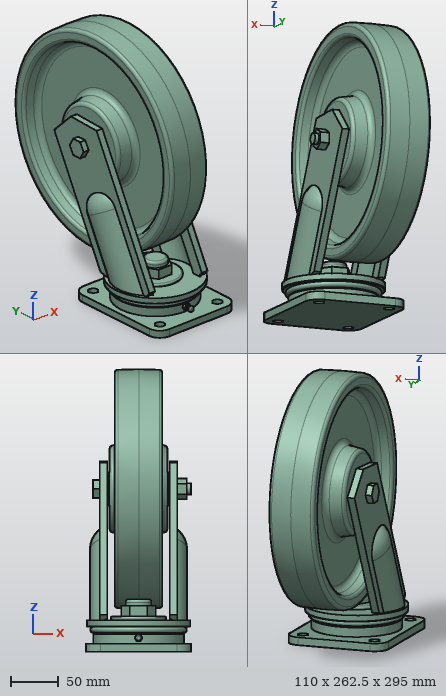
import cadquery as cq
import math


wheel_diameter = 250.0
axle_offset = 70.0
overall_height = 295.0
axle_height = overall_height - wheel_diameter / 2
axle_diameter = 12.0
kingpin_diameter = 27.0

plate_length = 135.0
plate_width = 110.0
plate_thickness = 8.5
race_bottom = 20.0
flange_bottom = 26.0
flange_top = 33.0
dish_thickness = 4.0
dish_top = flange_top + dish_thickness

leg_inner = 32.5
leg_thickness = 8.0
leg_outer = leg_inner + leg_thickness

plate_corner_radius = 15.0
bolt_spacing_x = 80.0
bolt_spacing_y = 105.0
bolt_hole_diameter = 11.0
neck_diameter = 95.0
neck_chamfer = 1.5
kingpin_nut_corners = 36.0
kingpin_nut_height = 11.0
kingpin_top = 55.0
kingpin_rounding = 3.0
nipple_height = 14.7
nipple_hex_corners = 8.0
nipple_hex_end = 51.0
nipple_stem_diameter = 3.5
nipple_head_diameter = 6.6
nipple_head_length = 4.2
nipple_head_rounding = 1.5
nipple_tip = 58.2
nipple_root = neck_diameter / 2 - 2.0


def make_nipple():
    """Grease nipple pointing to -Y: hexagon, stem and rounded head."""
    root_plane = cq.Workplane("XZ", origin=(0, -nipple_root, nipple_height))
    hexagon = root_plane.polygon(6, nipple_hex_corners).extrude(nipple_hex_end - nipple_root)
    stem = root_plane.circle(nipple_stem_diameter / 2).extrude(nipple_tip - nipple_root)
    head = (
        cq.Workplane("XZ", origin=(0, nipple_head_length - nipple_tip, nipple_height))
        .circle(nipple_head_diameter / 2)
        .extrude(nipple_head_length)
        .edges()
        .fillet(nipple_head_rounding)
    )
    return hexagon.union(stem).union(head)


def make_base():
    plate = (
        cq.Workplane("XY")
        .rect(plate_width, plate_length)
        .extrude(plate_thickness)
        .edges("|Z")
        .fillet(plate_corner_radius)
        .faces(">Z")
        .workplane()
        .rect(bolt_spacing_x, bolt_spacing_y, forConstruction=True)
        .vertices()
        .hole(bolt_hole_diameter)
    )
    neck = cq.Workplane("XY").circle(neck_diameter / 2).extrude(race_bottom).faces(">Z").chamfer(neck_chamfer)
    kingpin = cq.Workplane("XY").circle(kingpin_diameter / 2).extrude(kingpin_top)
    kingpin = kingpin.faces(">Z").edges().fillet(kingpin_rounding)
    nut = (
        cq.Workplane("XY")
        .workplane(offset=dish_top)
        .polygon(6, kingpin_nut_corners)
        .extrude(kingpin_nut_height)
    )
    return plate.union(neck).union(kingpin).union(nut).union(make_nipple())


race_diameter = 101.0
flange_diameter = 108.0
flange_chamfer = 0.8
dish_diameter = 58.0

leg_tilt = 27.7
leg_half_width = 35.0
leg_peak = 187.4
leg_front_shoulder = 167.0
leg_rear_shoulder = 177.0
leg_front_foot = -12.0
leg_rear_foot = 21.0
leg_toe_across = -10.0
leg_toe = -22.0

rib_radius = 33.75
rib_axis_x = 17.1
rib_straight_length = 83.0
rib_dome_radius = 25.0
rib_buried_length = 40.0


def tilt_with_leg(body):
    """Lean a body built along +Z at the origin to the leg centreline."""
    return body.rotate((0, 0, 0), (1, 0, 0), -leg_tilt).translate((0, 0, flange_top))


def make_rib_form(radius, dome_radius):
    """Cylinder with a rounded end along the leg centreline on the +X side."""
    form = (
        cq.Workplane("XY", origin=(rib_axis_x, 0, -rib_buried_length))
        .circle(radius)
        .extrude(rib_buried_length + rib_straight_length + dome_radius)
        .faces(">Z")
        .edges()
        .fillet(dome_radius)
    )
    return tilt_with_leg(form)


def make_leg():
    """Leg on the +X side."""
    outline = [
        (-leg_half_width, leg_front_foot),
        (-leg_half_width, leg_front_shoulder),
        (0, leg_peak),
        (leg_half_width, leg_rear_shoulder),
        (leg_half_width, leg_rear_foot),
        (leg_toe_across, leg_toe),
    ]
    blade = tilt_with_leg(
        cq.Workplane("YZ", origin=(leg_inner, 0, 0)).polyline(outline).close().extrude(leg_thickness)
    )
    span = 2 * overall_height
    above_flange = cq.Workplane("XY").box(span, span, span).translate((0, 0, flange_top + span / 2))
    outside_blade = cq.Workplane("XY").box(span, span, span).translate((leg_inner + span / 2, 0, 0))
    rib = make_rib_form(rib_radius, rib_dome_radius).intersect(outside_blade)
    hollow = make_rib_form(rib_radius - leg_thickness, rib_dome_radius - leg_thickness)
    axle_hole = (
        cq.Workplane("YZ", origin=(leg_inner, axle_offset, axle_height))
        .circle(axle_diameter / 2)
        .extrude(leg_thickness)
    )
    return blade.union(rib).cut(hollow).intersect(above_flange).cut(axle_hole)


def make_round_rimmed_disc(diameter, bottom, top):
    """Disc about the swivel axis whose rim is a half round."""
    rim_radius = (top - bottom) / 2
    flat_radius = diameter / 2 - rim_radius
    return (
        cq.Workplane("XZ")
        .moveTo(0, bottom)
        .lineTo(flat_radius, bottom)
        .threePointArc((diameter / 2, bottom + rim_radius), (flat_radius, top))
        .lineTo(0, top)
        .close()
        .revolve(360, (0, 0, 0), (0, 1, 0))
    )


def make_fork():
    race = make_round_rimmed_disc(race_diameter, race_bottom, flange_bottom)
    flange = (
        cq.Workplane("XY", origin=(0, 0, flange_bottom))
        .circle(flange_diameter / 2)
        .extrude(flange_top - flange_bottom)
        .faces("<Z")
        .edges()
        .chamfer(flange_chamfer)
    )
    dish = make_round_rimmed_disc(dish_diameter, flange_top, dish_top)
    kingpin_hole = cq.Workplane("XY").circle(kingpin_diameter / 2).extrude(overall_height)
    head = race.union(flange).union(dish).cut(kingpin_hole)
    leg = make_leg()
    return head.union(leg).union(leg.mirror("YZ"))


wheel_radius = wheel_diameter / 2
tread_half_width = 25.0
shoulder_x = 21.6
shoulder_radius = 124.5
shoulder_bulge = 0.29
side_radius = 120.2
rim_inner_radius = 109.7
rim_root_radius = 105.5
rim_lip_fillet = 4.0
web_half_thickness = 8.0
web_fillet = 7.0
hub_half_width = 30.3
hub_outer_radius = 45.0
hub_root_radius = 49.0
hub_fillet = 4.5
seal_radius = 17.5
seal_half_width = 31.3
collar_radius = 13.5


def round_ring(body, x, radius, fillet):
    """Fillet the circular edge of the given radius that lies at the given X."""

    def is_wanted(edge):
        return math.isclose(edge.radius(), radius) and math.isclose(edge.Center().x, x, rel_tol=1e-6)

    return body.edges("%CIRCLE").filter(is_wanted).fillet(fillet)


def make_wheel():
    """Half profile in (X, radius), revolved about X and mirrored."""
    shoulder_mid = (
        tread_half_width - shoulder_bulge * (tread_half_width - shoulder_x),
        shoulder_radius - shoulder_bulge * (shoulder_radius - side_radius),
    )
    half = (
        cq.Workplane("XY")
        .moveTo(0, axle_diameter / 2)
        .lineTo(0, wheel_radius)
        .lineTo(shoulder_x, shoulder_radius)
        .threePointArc(shoulder_mid, (tread_half_width, side_radius))
        .lineTo(tread_half_width, rim_inner_radius)
        .lineTo(web_half_thickness, rim_root_radius)
        .lineTo(web_half_thickness, hub_root_radius)
        .lineTo(hub_half_width, hub_outer_radius)
        .lineTo(hub_half_width, seal_radius)
        .lineTo(seal_half_width, seal_radius)
        .lineTo(seal_half_width, collar_radius)
        .lineTo(leg_inner, collar_radius)
        .lineTo(leg_inner, axle_diameter / 2)
        .close()
        .revolve(360, (0, 0, 0), (1, 0, 0))
    )
    half = round_ring(half, web_half_thickness, rim_root_radius, web_fillet)
    half = round_ring(half, web_half_thickness, hub_root_radius, web_fillet)
    half = round_ring(half, tread_half_width, rim_inner_radius, rim_lip_fillet)
    half = round_ring(half, hub_half_width, hub_outer_radius, hub_fillet)
    wheel = half.union(half.mirror("YZ"))
    return wheel.translate((0, axle_offset, axle_height))


hexagon_flats = 19.0
hexagon_corners = hexagon_flats / math.cos(math.pi / 6)
head_thickness = 7.0
nut_thickness = 10.0
shank_end = 55.0


def make_axle():
    origin_y_z = (axle_offset, axle_height)
    shank = (
        cq.Workplane("YZ", origin=(-leg_outer, *origin_y_z))
        .circle(axle_diameter / 2)
        .extrude(leg_outer + shank_end)
    )
    head = (
        cq.Workplane("YZ", origin=(-leg_outer, *origin_y_z))
        .polygon(6, hexagon_corners)
        .extrude(-head_thickness)
    )
    nut = (
        cq.Workplane("YZ", origin=(leg_outer, *origin_y_z))
        .transformed(rotate=(0, 0, 90))
        .polygon(6, hexagon_corners)
        .extrude(nut_thickness)
    )
    return shank.union(head).union(nut)


base = make_base()
fork = make_fork()
wheel = make_wheel()
axle = make_axle()

result = cq.Compound.makeCompound([base.val(), fork.val(), wheel.val(), axle.val()])